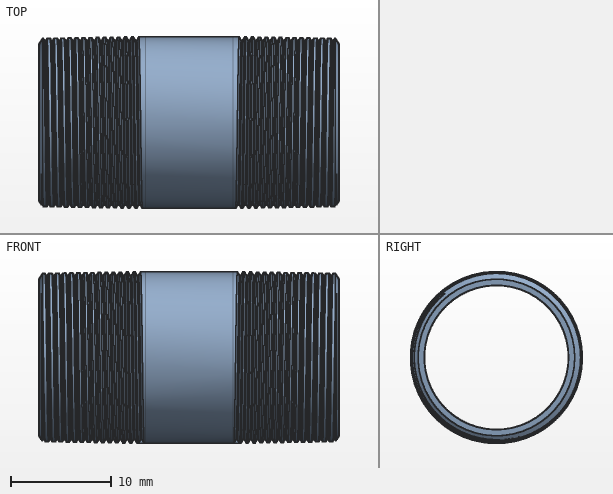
import cadquery as cq
import math

length = 30.0
outer_diameter = 17.2
outer_radius = outer_diameter / 2
bore_radius = 7.2

taper_length = 10.65
end_diameter = 16.83
end_radius = end_diameter / 2
face_radius = 7.83
chamfer_length = 0.35

thread_length = 11.2
root_radius = 8.22
root_width = 0.15
flank_angle = 30.0
last_groove = 10.23
turns = 16
pitch = thread_length / turns
cutter_clearance = 0.05


def make_end_blank():
    """The tapered, chamfered -X end of the tube, revolved about X."""
    half = length / 2
    return (
        cq.Workplane("XY")
        .moveTo(-half, bore_radius)
        .lineTo(-half, face_radius)
        .lineTo(chamfer_length - half, end_radius)
        .lineTo(taper_length - half, outer_radius)
        .lineTo(taper_length - half, bore_radius)
        .close()
        .revolve(360, (0, 0, 0), (1, 0, 0))
    )


def make_turn_cutter():
    """Innermost turn of the right-handed groove, starting and ending on the -Z side."""
    top_radius = outer_radius + cutter_clearance
    root_half = root_width / 2
    top_half = root_half + (top_radius - root_radius) * math.tan(math.radians(flank_angle))
    helix = cq.Wire.makeHelix(pitch, pitch, root_radius)
    cutter = (
        cq.Workplane("XZ")
        .moveTo(root_radius, -root_half)
        .lineTo(top_radius, -top_half)
        .lineTo(top_radius, top_half)
        .lineTo(root_radius, root_half)
        .close()
        .sweep(cq.Workplane(obj=helix), isFrenet=True)
    )
    along_x = cutter.rotate((0, 0, 0), (0, 1, 0), 90)
    return along_x.translate((last_groove - length / 2 - pitch, 0, 0))


def make_threaded_end():
    """The -X end, threaded one turn at a time from the inner end of the groove outwards."""
    threaded = make_end_blank()
    turn_cutter = make_turn_cutter()
    for turn in range(turns):
        threaded = threaded.cut(turn_cutter.translate((-turn * pitch, 0, 0)))
    return threaded


def make_plain_middle():
    """Unthreaded tube joining the two ends."""
    middle_length = length - 2 * taper_length
    return (
        cq.Workplane("YZ", origin=(-middle_length / 2, 0, 0))
        .circle(outer_radius)
        .circle(bore_radius)
        .extrude(middle_length)
    )


left_end = make_threaded_end()
right_end = left_end.mirror("YZ")
result = make_plain_middle().union(left_end).union(right_end).solids()